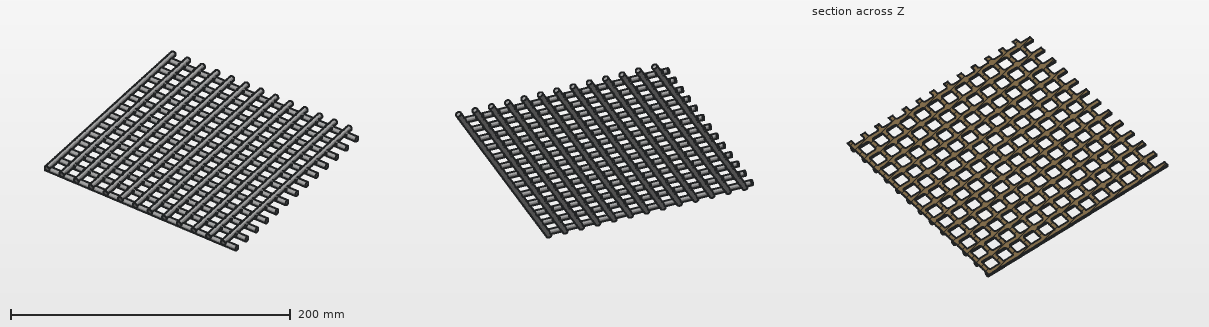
import cadquery as cq

ROD_DIAMETER = 4.064
ROD_COUNT = 13
PITCH = 12.7
LENGTH_X = 165.1
LENGTH_Y = 160.782
TOTAL_HEIGHT = 5.588
WELD_RADIUS = 1.016

ROD_RADIUS = ROD_DIAMETER / 2
FIRST_ROD = ROD_RADIUS
LOWER_AXIS_Z = ROD_RADIUS
UPPER_AXIS_Z = TOTAL_HEIGHT - ROD_RADIUS

X_AXIS = cq.Vector(1, 0, 0)
Y_AXIS = cq.Vector(0, 1, 0)


def rod(start, direction, length):
    """Round rod with its axis running from start along direction."""
    return cq.Solid.makeCylinder(ROD_RADIUS, length, cq.Vector(*start), direction)


def strip(reach_left, reach_right):
    """One upper rod, centred on X = 0, with the lengths of all lower rods around it."""
    upper_rod = rod((0, 0, UPPER_AXIS_Z), Y_AXIS, LENGTH_Y)
    lower_pieces = [
        rod((-reach_left, FIRST_ROD + row * PITCH, LOWER_AXIS_Z), X_AXIS, reach_left + reach_right)
        for row in range(ROD_COUNT)
    ]
    return upper_rod.fuse(*lower_pieces).Solids()[0]


def weld(plain_strip):
    """Fillet every crossing of a strip except the flush one on the first lower rod."""
    first_gap_middle = FIRST_ROD + PITCH / 2
    seams = [
        edge
        for edge in plain_strip.Edges()
        if edge.geomType() == "BSPLINE" and edge.Center().y > first_gap_middle
    ]
    return plain_strip.fillet(WELD_RADIUS, seams)


def grid():
    """Strips side by side; the crossings along the first upper rod stay unfilleted."""
    half_pitch = PITCH / 2
    last_reach = LENGTH_X - FIRST_ROD - (ROD_COUNT - 1) * PITCH
    first_strip = strip(FIRST_ROD, half_pitch)
    middle_strip = weld(strip(half_pitch, half_pitch))
    last_strip = weld(strip(half_pitch, last_reach))

    strips = [first_strip] + [middle_strip] * (ROD_COUNT - 2) + [last_strip]
    placed = [
        piece.translate(cq.Vector(FIRST_ROD + column * PITCH, 0, 0))
        for column, piece in enumerate(strips)
    ]
    return placed[0].fuse(*placed[1:]).clean()


result = cq.Workplane("XY").newObject(grid().Solids())